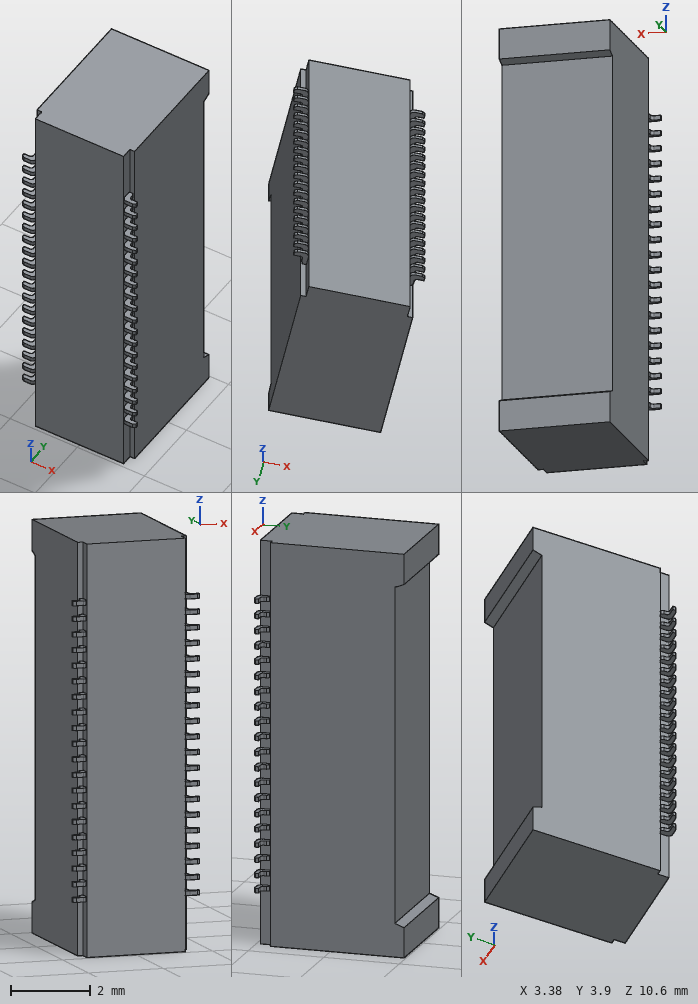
import cadquery as cq

height = 10.6
housing_width = 2.9
housing_depth = 3.85

step_width = 0.14
step_depth = 0.31

recess_depth = 0.24
tab_height = 0.8
recess_taper = 0.1

leads_per_side = 20
first_to_last_lead = 7.6
lead_width = 0.12
span_across_leads = 3.38
foot_drop = 0.05
foot_top = 0.069
lead_top_gap = 0.03
shoulder_drop = 0.069
shoulder_inset = 0.03
ankle_radius = 0.07
heel_radius = 0.11
toe_length = 0.07
toe_rise = 0.04

lead_pitch = first_to_last_lead / (leads_per_side - 1)
half_width = housing_width / 2
wall_x = half_width - step_width
toe_x = span_across_leads / 2


def make_housing():
    half_height = height / 2
    tab_edge = half_height - tab_height
    recess_edge = tab_edge - recess_taper
    recess_floor = housing_depth - recess_depth
    housing = (
        cq.Workplane("YZ")
        .polyline([
            (0, -half_height),
            (housing_depth, -half_height),
            (housing_depth, -tab_edge),
            (recess_floor, -recess_edge),
            (recess_floor, recess_edge),
            (housing_depth, tab_edge),
            (housing_depth, half_height),
            (0, half_height),
        ])
        .close()
        .extrude(half_width, both=True)
    )
    for side in (-1, 1):
        step = cq.Workplane("XY").box(2 * step_width, 2 * step_depth, height)
        housing = housing.cut(step.translate((side * half_width, 0, 0)))
    return housing


def make_lead():
    """One lead on the +X side, centred on Z = 0, its leg lying against the step wall."""
    leg_top = step_depth - lead_top_gap
    return (
        cq.Workplane("XY")
        .moveTo(wall_x, leg_top)
        .lineTo(half_width - shoulder_inset, leg_top)
        .lineTo(half_width, leg_top - shoulder_drop)
        .lineTo(half_width, foot_top + ankle_radius)
        .radiusArc((half_width + ankle_radius, foot_top), -ankle_radius)
        .lineTo(toe_x, foot_top)
        .lineTo(toe_x, toe_rise - foot_drop)
        .lineTo(toe_x - toe_length, -foot_drop)
        .lineTo(wall_x + heel_radius, -foot_drop)
        .radiusArc((wall_x, heel_radius - foot_drop), heel_radius)
        .close()
        .extrude(lead_width / 2, both=True)
    )


result = make_housing()
right_lead = make_lead()
left_lead = right_lead.mirror("YZ")
for index in range(leads_per_side):
    lead_z = index * lead_pitch - first_to_last_lead / 2
    for lead in (left_lead, right_lead):
        result = result.union(lead.translate((0, 0, lead_z)))